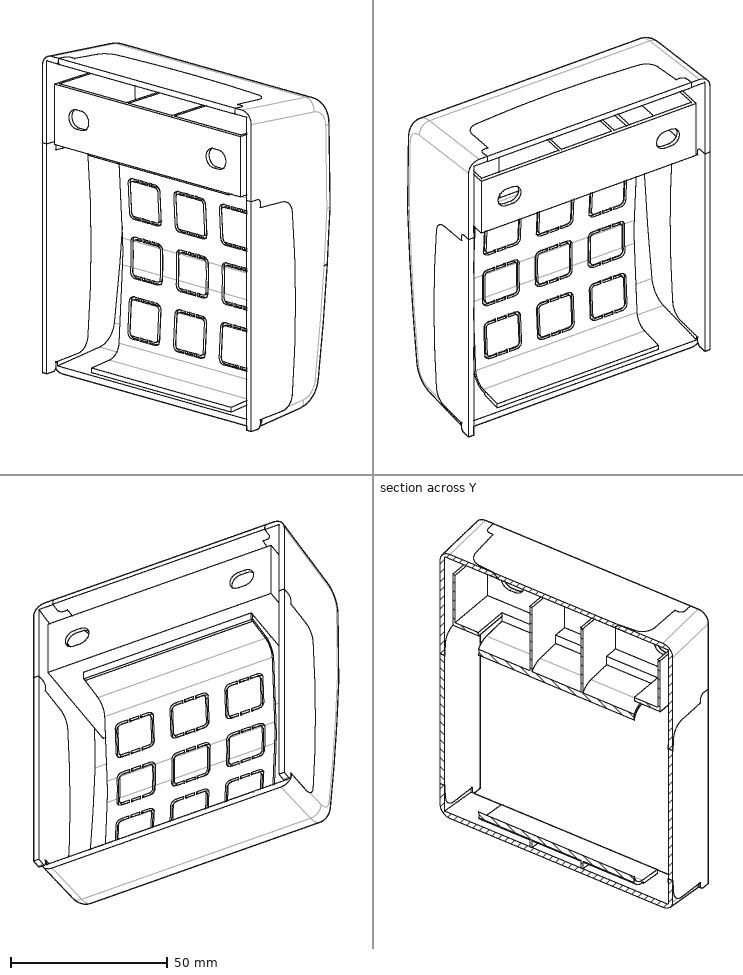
import cadquery as cq
import math


WIDTH = 91.5
HEIGHT = 108.0
WALL = 1.9
FLOOR_WALL = 2.3
DRAFT_ANGLE = math.radians(5.0)
DRAFT = math.tan(DRAFT_ANGLE)
TOP_Z = HEIGHT / 2
BOTTOM_Z = -HEIGHT / 2
FLOOR_BACK_Y = 5.1
CREST_Y = 39.58
CREST_Z = 13.5
SHOULDER_Y = 38.9
TOE_Y = 32.8
FACE_BULGE = 0.81
CORNER_R = 10.0
CAVITY_CORNER_R = 7.7
SIDE_R = 4.0

PANEL_HALF_WIDTH = 35.9
PANEL_CORNER_HALF_WIDTH = 35.0
PANEL_CORNER_DEPTH = 18.9
PANEL_CROWN_DEPTH = 20.8
PANEL_CORNER_R = 5.0
FLANGE_EXTRA = 2.8
FLANGE_DEPTH = 4.4
FLANGE_R = 1.6
SIDE_PANEL_Z = -14.6

SHEET = 1.0

BOX_WIDTH = 81.4
BOX_BACK_Y = 0.3
BOX_BACK_T = 1.4
BOX_TOP_Z = 44.8
BOX_BOTTOM_Z = 24.5
BOX_FLOOR_T = 1.5
BOX_FLOOR_Z = BOX_BOTTOM_Z + BOX_FLOOR_T
SCREW_SLOT_X = 30.0
SCREW_SLOT_Z = 35.0
SCREW_SLOT_LENGTH = 8.6
SCREW_SLOT_HEIGHT = 6.5

PLATE_WIDTH = 61.1
PLATE_Z = -14.1
PLATE_TOP_Y = 5.7
PLATE_BOTTOM_Y = 6.9
PLATE_HALF_HEIGHT = 35.9
PLATE_APEX_Y = 21.7
PLATE_TILT = math.tan(math.radians(3.5))
PLATE_CORNER_R = 5.0
PLATE_APEX_R = 71.3
PLATE_CORNER_Y = PLATE_APEX_Y - PLATE_HALF_HEIGHT * PLATE_TILT
WEB_FACE_Y = PLATE_TOP_Y + SHEET

KEY_SIZE = 13.9
KEY_R = 2.0
KEY_SLOT = 1.0
KEY_PITCH = 20.0
KEY_MIDDLE_Z = -15.1
BRIDGE_WIDTH = 0.8
BRIDGE_SPACING = 4.0


def box(x0, x1, y0, y1, z0, z1):
    """Block between two opposite corners."""
    block = cq.Workplane("XY").box(x1 - x0, y1 - y0, z1 - z0, centered=False)
    return block.translate((x0, y0, z0))


def nearest(*points):
    """Selector for the edges lying nearest to the given points, one edge for each."""
    selector = cq.selectors.NearestToPointSelector(points[0])
    for point in points[1:]:
        selector = selector + cq.selectors.NearestToPointSelector(point)
    return selector



def shell_block(wall, floor_wall, corner_r):
    """Solid wedge of the housing, set in by the given wall thicknesses."""
    shoulder_y = SHOULDER_Y - wall
    crest_y = CREST_Y - wall
    toe_y = TOE_Y - wall
    top_z = TOP_Z - wall / math.cos(DRAFT_ANGLE)
    shoulder_z = top_z - shoulder_y * DRAFT
    floor_z = BOTTOM_Z + floor_wall - FLOOR_BACK_Y * DRAFT
    toe_z = floor_z + toe_y * DRAFT
    face_middle = ((crest_y + toe_y) / 2 + FACE_BULGE, (CREST_Z + toe_z) / 2)
    block = (
        cq.Workplane("YZ")
        .moveTo(0, floor_z)
        .lineTo(0, top_z)
        .lineTo(shoulder_y, shoulder_z)
        .lineTo(crest_y, CREST_Z)
        .threePointArc(face_middle, (toe_y, toe_z))
        .close()
        .extrude(WIDTH / 2 - wall, both=True)
    )
    corners = nearest((0, shoulder_y, shoulder_z), (0, toe_y, toe_z))
    return block.edges("|X").edges(corners).fillet(corner_r)


def make_shell(cavity):
    """Hollow housing with rounded side edges, before the panel openings are cut."""
    block = shell_block(0, 0, CORNER_R)
    block = block.faces("<X or >X").edges("not(<Y)").fillet(SIDE_R)
    floor_notch = box(-WIDTH, WIDTH, 0, FLOOR_BACK_Y, -HEIGHT, SIDE_PANEL_Z - PANEL_HALF_WIDTH)
    return block.cut(cavity).cut(floor_notch)



def make_flange(plane):
    """Wider strip along the open edge of a panel, with its two inner corners rounded."""
    half = PANEL_HALF_WIDTH + FLANGE_EXTRA
    round_start = FLANGE_DEPTH - FLANGE_R
    return (
        cq.Workplane(plane)
        .moveTo(-half, 0)
        .lineTo(-half, round_start)
        .radiusArc((-half + FLANGE_R, FLANGE_DEPTH), FLANGE_R)
        .lineTo(half - FLANGE_R, FLANGE_DEPTH)
        .radiusArc((half, round_start), FLANGE_R)
        .lineTo(half, 0)
        .close()
        .extrude(-WALL)
    )


def make_panel(plane):
    """Panel with its outer face on the plane and its depth along the plane's Y."""
    corner = (PANEL_CORNER_HALF_WIDTH, PANEL_CORNER_DEPTH)
    mirrored_corner = (-PANEL_CORNER_HALF_WIDTH, PANEL_CORNER_DEPTH)
    body = (
        cq.Workplane(plane)
        .moveTo(-PANEL_HALF_WIDTH, 0)
        .lineTo(*mirrored_corner)
        .threePointArc((0, PANEL_CROWN_DEPTH), corner)
        .lineTo(PANEL_HALF_WIDTH, 0)
        .close()
        .extrude(-WALL)
    )
    mid_wall = -WALL / 2
    corners = nearest(
        plane.toWorldCoords((*corner, mid_wall)).toTuple(),
        plane.toWorldCoords((*mirrored_corner, mid_wall)).toTuple(),
    )
    return body.edges(corners).fillet(PANEL_CORNER_R).union(make_flange(plane))



def bent_block(grow):
    """Block filling the inside of the bent plate, enlarged all round by the given amount."""
    corner_half = PLATE_HALF_HEIGHT - (PLATE_CORNER_Y - PLATE_BOTTOM_Y) * DRAFT
    open_half = PLATE_HALF_HEIGHT + PLATE_BOTTOM_Y * DRAFT
    outline = (
        cq.Workplane("YZ")
        .polyline([
            (0, open_half),
            (PLATE_CORNER_Y, corner_half),
            (PLATE_APEX_Y, 0),
            (PLATE_CORNER_Y, -corner_half),
            (0, -open_half),
        ])
        .close()
    )
    if grow:
        outline = outline.offset2D(grow, "intersection")
    block = outline.extrude(PLATE_WIDTH / 2, both=True)
    block = block.edges(">Y").fillet(PLATE_APEX_R + grow)
    corners = nearest((0, PLATE_CORNER_Y, corner_half), (0, PLATE_CORNER_Y, -corner_half))
    block = block.edges("|X").edges(corners).fillet(PLATE_CORNER_R + grow)
    return block.translate((0, 0, PLATE_Z))


def key_cutter(x, z):
    """Slot round one key, interrupted by two bridges above the key and two below."""
    half = KEY_SIZE / 2
    core_half = half - KEY_SLOT
    outer = box(-half, half, PLATE_BOTTOM_Y, CREST_Y, -half, half).edges("|Y").fillet(KEY_R)
    core = box(-core_half, core_half, PLATE_BOTTOM_Y, CREST_Y, -core_half, core_half)
    ring = outer.cut(core.edges("|Y").fillet(KEY_R - KEY_SLOT))
    for side in (-1, 1):
        left = side * BRIDGE_SPACING / 2 - BRIDGE_WIDTH / 2
        ring = ring.cut(box(left, left + BRIDGE_WIDTH, PLATE_BOTTOM_Y, CREST_Y, -half, half))
    return ring.translate((x, 0, z))


def make_key_plate(inside):
    """Bent plate with an upper and a lower flange and nine break-out keys."""
    half = PLATE_WIDTH / 2
    upper = box(-half, half, PLATE_TOP_Y, CREST_Y, PLATE_Z, TOP_Z)
    lower = box(-half, half, PLATE_BOTTOM_Y, CREST_Y, BOTTOM_Z, PLATE_Z)
    plate = bent_block(SHEET).cut(inside).intersect(upper.union(lower))
    for column in (-1, 0, 1):
        for row in (-1, 0, 1):
            plate = plate.cut(key_cutter(column * KEY_PITCH, KEY_MIDDLE_Z + row * KEY_PITCH))
    return plate


def make_foot(inside):
    """Fills the gap between the lower flange and the housing floor."""
    half = PLATE_WIDTH / 2
    foot_top_z = PLATE_Z - PLATE_HALF_HEIGHT + PLATE_CORNER_R
    block = box(-half, half, PLATE_BOTTOM_Y, PLATE_CORNER_Y - PLATE_CORNER_R, BOTTOM_Z, foot_top_z)
    return block.cut(inside)


def make_web():
    """Upright wall joining the upper flange of the plate to the box floor."""
    half = PLATE_WIDTH / 2
    return box(-half, half, PLATE_TOP_Y, WEB_FACE_Y, PLATE_Z + PLATE_HALF_HEIGHT, BOX_FLOOR_Z)


def make_mounting_box():
    """Box open at its top and face side, with two screw slots and its floor cut out over the plate."""
    half = BOX_WIDTH / 2
    plate_half = PLATE_WIDTH / 2
    inner_back_y = BOX_BACK_Y + BOX_BACK_T
    block = box(-half, half, BOX_BACK_Y, CREST_Y, BOX_BOTTOM_Z, BOX_TOP_Z)
    room = box(-half + SHEET, half - SHEET, inner_back_y, CREST_Y, BOX_FLOOR_Z, BOX_TOP_Z)
    floor_opening = box(-plate_half, plate_half, WEB_FACE_Y, CREST_Y, BOX_BOTTOM_Z, BOX_FLOOR_Z)
    screw_slots = (
        cq.Workplane("XZ")
        .pushPoints([(-SCREW_SLOT_X, SCREW_SLOT_Z), (SCREW_SLOT_X, SCREW_SLOT_Z)])
        .slot2D(SCREW_SLOT_LENGTH, SCREW_SLOT_HEIGHT)
        .extrude(-inner_back_y)
    )
    return block.cut(room).cut(floor_opening).cut(screw_slots)


def make_rib(x, inside):
    """Rib running down through the box and on behind the plate, between two key columns."""
    rib = box(x - SHEET / 2, x + SHEET / 2, BOX_BACK_Y, CREST_Y, BOTTOM_Z, BOX_TOP_Z)
    under_box = box(-WIDTH, WIDTH, BOX_BACK_Y, PLATE_TOP_Y, BOTTOM_Z, BOX_BOTTOM_Z)
    under_flange = box(-WIDTH, WIDTH, BOX_BACK_Y, PLATE_BOTTOM_Y, BOTTOM_Z, PLATE_Z)
    return rib.cut(inside).cut(under_box).cut(under_flange)


def make_tray(cavity):
    inside = bent_block(0)
    tray = make_mounting_box().union(make_web()).union(make_key_plate(inside))
    tray = tray.union(make_foot(inside))
    for side in (-1, 1):
        tray = tray.union(make_rib(side * KEY_PITCH / 2, inside))
    return tray.intersect(cavity)



left_plane = cq.Plane((-WIDTH / 2, 0, SIDE_PANEL_Z), xDir=(0, 0, 1), normal=(-1, 0, 0))
right_plane = cq.Plane((WIDTH / 2, 0, SIDE_PANEL_Z), xDir=(0, 0, -1), normal=(1, 0, 0))
top_plane = cq.Plane((0, 0, TOP_Z), xDir=(1, 0, 0), normal=(0, DRAFT, 1))
panels = [make_panel(plane) for plane in (left_plane, right_plane, top_plane)]

cavity = shell_block(WALL, FLOOR_WALL, CAVITY_CORNER_R)
housing = make_shell(cavity)
for panel in panels:
    housing = housing.cut(panel)
tray = make_tray(cavity)

result = cq.Compound.makeCompound([housing.val(), tray.val(), *[panel.val() for panel in panels]])